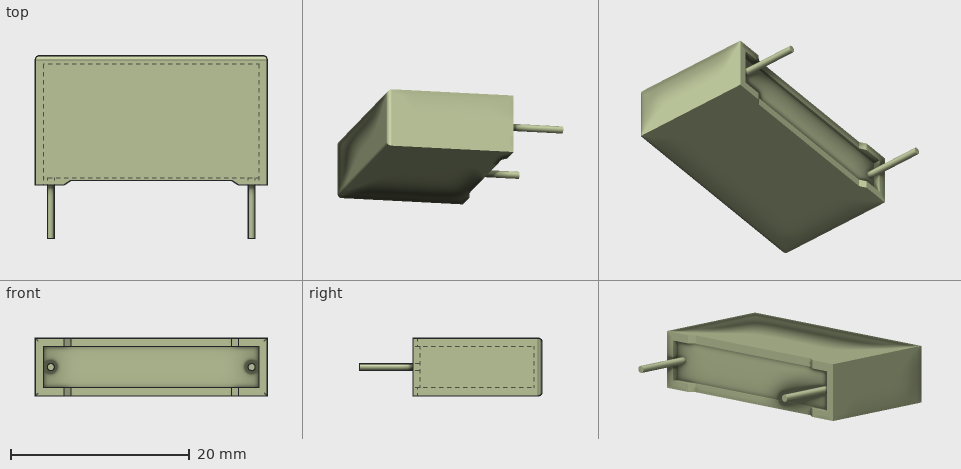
import cadquery as cq


case_width = 26.0
case_depth = 14.5
case_height = 6.5
wall = 0.95
back_fillet = 0.5

relief_depth = 0.5
foot_width = 3.25
slope_width = 0.75

resin_recess = 0.8

lead_diameter = 0.8
lead_pitch = 22.5
lead_length = 6.0

cavity_width = case_width - 2 * wall
cavity_height = case_height - 2 * wall
cavity_back = case_depth - wall


def block(width, height, y_start, y_end):
    """Rectangular block centred on the Y axis between two Y positions."""
    depth = y_end - y_start
    return cq.Workplane("XY").box(width, depth, height).translate((0, y_start + depth / 2, 0))


def make_rim_relief():
    """Trapezoid cutter that lowers the middle of the rim through the full height."""
    rim_half = case_width / 2 - foot_width
    floor_half = rim_half - slope_width
    return (
        cq.Workplane("XY")
        .moveTo(-rim_half, 0)
        .lineTo(-floor_half, relief_depth)
        .lineTo(floor_half, relief_depth)
        .lineTo(rim_half, 0)
        .close()
        .extrude(case_height / 2, both=True)
    )


def make_case():
    """Open box with a rounded back and a relieved rim."""
    shell = block(case_width, case_height, 0, case_depth)
    shell = shell.faces(">Y").edges().fillet(back_fillet)
    shell = shell.cut(block(cavity_width, cavity_height, 0, cavity_back))
    return shell.cut(make_rim_relief())


def make_resin():
    """Resin that fills the cavity up to a level below the rim."""
    return block(cavity_width, cavity_height, resin_recess, cavity_back)


def make_lead(x):
    """Round wire that stands on the resin surface and runs past the rim."""
    return (
        cq.Workplane("XZ", origin=(x, resin_recess, 0))
        .circle(lead_diameter / 2)
        .extrude(resin_recess + lead_length)
    )


case = make_case()
resin = make_resin()
leads = [make_lead(side * lead_pitch / 2) for side in (-1, 1)]

result = cq.Compound.makeCompound([case.val(), resin.val(), *[lead.val() for lead in leads]])